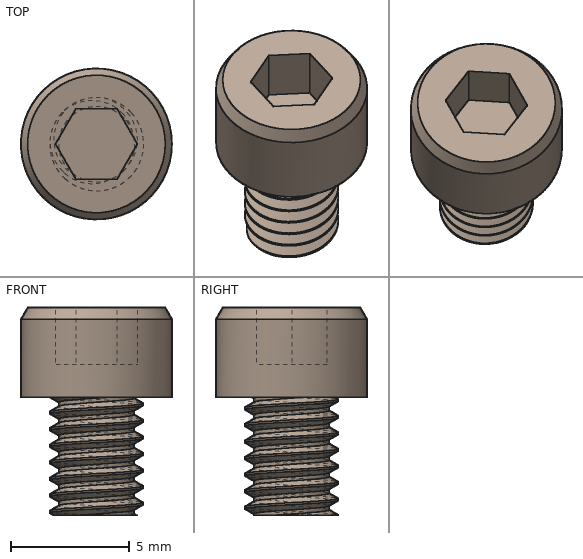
import cadquery as cq
import math


head_diameter = 6.4
head_height = 3.8
head_chamfer_height = 0.5
head_chamfer_angle = 30.0

socket_sides = 6
socket_across_flats = 3.0
socket_depth = 2.4

shank_length = 5.0
major_diameter = 3.96
pitch = 0.7
flank_angle = 30.0
crest_width = pitch / 8
root_width = pitch / 4
first_crest_height = 0.5
ridge_embedding = 0.1
turns_below_tip = 2
shank_overlap = pitch

ridge_base_width = pitch - root_width
thread_depth = (ridge_base_width - crest_width) / 2 / math.tan(math.radians(flank_angle))
major_radius = major_diameter / 2
root_radius = major_radius - thread_depth


def make_head():
    """Cylinder with a steep chamfer around its top edge."""
    chamfer_width = head_chamfer_height * math.tan(math.radians(head_chamfer_angle))
    radius = head_diameter / 2
    return (
        cq.Workplane("XZ")
        .moveTo(0, shank_length)
        .lineTo(radius, shank_length)
        .lineTo(radius, shank_length + head_height - head_chamfer_height)
        .lineTo(radius - chamfer_width, shank_length + head_height)
        .lineTo(0, shank_length + head_height)
        .close()
        .revolve(360, (0, 0, 0), (0, 1, 0))
    )


def make_socket():
    """Hexagonal prism with two corners on the X axis."""
    across_corners = socket_across_flats / math.cos(math.pi / socket_sides)
    return (
        cq.Workplane("XY", origin=(0, 0, shank_length + head_height))
        .polygon(socket_sides, across_corners)
        .extrude(-socket_depth)
    )


def make_thread_ridge():
    """Right-hand helical ridge that starts below the tip and ends inside the head."""
    start_height = first_crest_height - turns_below_tip * pitch
    turns_above_tip = math.ceil(shank_length / pitch)
    helix_height = (turns_below_tip + turns_above_tip) * pitch
    inner_radius = root_radius - ridge_embedding
    inner_width = ridge_base_width + 2 * ridge_embedding * math.tan(math.radians(flank_angle))

    helix = cq.Wire.makeHelix(pitch, helix_height, root_radius, center=cq.Vector(0, 0, start_height))
    return (
        cq.Workplane("XZ", origin=(0, 0, start_height))
        .moveTo(inner_radius, -inner_width / 2)
        .lineTo(major_radius, -crest_width / 2)
        .lineTo(major_radius, crest_width / 2)
        .lineTo(inner_radius, inner_width / 2)
        .close()
        .sweep(cq.Workplane(obj=helix), isFrenet=True)
    )


def make_shank():
    """Threaded shank, cut flat at the tip and reaching a little way into the head."""
    overrun = (turns_below_tip + 1) * pitch
    core = (
        cq.Workplane("XY", origin=(0, 0, -overrun))
        .circle(root_radius)
        .extrude(shank_length + 2 * overrun)
        .rotate((0, 0, 0), (0, 0, 1), 180)
    )
    envelope = cq.Workplane("XY").circle(head_diameter / 2).extrude(shank_length + shank_overlap)
    return core.union(make_thread_ridge(), clean=False).intersect(envelope)


result = make_head().union(make_shank()).cut(make_socket())